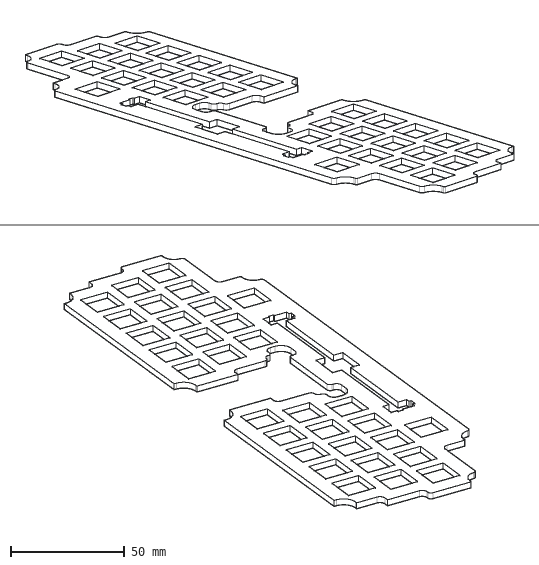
import cadquery as cq

THICKNESS = 3.0
PITCH = 19.05
BORDER = 5.5
SWITCH_SIZE = 14.0
KEYS_PER_ROW = 5

ROW_FIRST_KEY = [1.5, 1.75, 2.0]
ROW_HEIGHT = [1.5, 0.5, -0.5]
THUMB_ROW_Y = -1.5 * PITCH
THUMB_KEY_X = 3.875 * PITCH
THUMB_KEY_WIDTH = 1.5 * PITCH

TOP_NOTCH = 7.25
BOTTOM_NOTCH = 7.0
TOP_NOTCH_RADIUS = 6.1
BOTTOM_NOTCH_RADIUS = 5.5
STEP_OVERLAP = 4.2
STEP_RADIUS = 2.5
NOTCH_TIP_RADIUS = 0.5
EDGE_RADIUS = 1.6

POCKET_INNER_X = 16.7
POCKET_OUTER_X = 28.0
POCKET_TOP_Y = -8.0
POCKET_BOTTOM_Y = -18.5
POCKET_OUTER_RADIUS = 5.0
POCKET_INNER_RADIUS = 2.5
POCKET_TOP_RADIUS = 3.0
SHOULDER_X = 22.0
SHOULDER_Y = -4.0
SHOULDER_RADIUS = 1.9

STAB_X = 50.0
STAB_WIDTH = 6.75
STAB_TOP = 5.53
STAB_BOTTOM = -6.77
STAB_FOOT_WIDTH = 3.0
STAB_FOOT_BOTTOM = -7.97
STAB_EAR_REACH = 4.2
STAB_EAR_TOP = 2.3
STAB_EAR_BOTTOM = -0.5
BAR_HEIGHT = 4.6


def row_inner_x(row):
    """Plate edge beside the central opening."""
    return (ROW_FIRST_KEY[row] - 0.5) * PITCH - BORDER


def row_outer_x(row):
    """Plate edge at the outer end of a row."""
    return (ROW_FIRST_KEY[row] - 0.5 + KEYS_PER_ROW) * PITCH + BORDER


TOP_Y = 2 * PITCH + BORDER
BOTTOM_Y = -TOP_Y
UPPER_STEP_Y = PITCH + STEP_OVERLAP
LOWER_STEP_Y = STEP_OVERLAP
INNER_STEP_Y = PITCH - STEP_OVERLAP
LETTER_BOTTOM_Y = -PITCH - BORDER
SPACE_TOP_Y = -PITCH + BORDER
THUMB_OUTER_X = THUMB_KEY_X + THUMB_KEY_WIDTH / 2 + BORDER


def half_plate():
    """Right half of the plate; each outline corner is (x, y, fillet radius)."""
    corners = [
        (0, BOTTOM_Y, 0),
        (THUMB_OUTER_X - BOTTOM_NOTCH, BOTTOM_Y, EDGE_RADIUS),
        (THUMB_OUTER_X - BOTTOM_NOTCH, BOTTOM_Y + BOTTOM_NOTCH, BOTTOM_NOTCH_RADIUS),
        (THUMB_OUTER_X, BOTTOM_Y + BOTTOM_NOTCH, NOTCH_TIP_RADIUS),
        (THUMB_OUTER_X, LETTER_BOTTOM_Y, STEP_RADIUS),
        (row_outer_x(2) - BOTTOM_NOTCH, LETTER_BOTTOM_Y, EDGE_RADIUS),
        (row_outer_x(2) - BOTTOM_NOTCH, LETTER_BOTTOM_Y + BOTTOM_NOTCH, BOTTOM_NOTCH_RADIUS),
        (row_outer_x(2), LETTER_BOTTOM_Y + BOTTOM_NOTCH, NOTCH_TIP_RADIUS),
        (row_outer_x(2), LOWER_STEP_Y, EDGE_RADIUS),
        (row_outer_x(1), LOWER_STEP_Y, STEP_RADIUS),
        (row_outer_x(1), UPPER_STEP_Y, 0),
        (row_outer_x(0), UPPER_STEP_Y, STEP_RADIUS),
        (row_outer_x(0), TOP_Y - TOP_NOTCH, 0),
        (row_outer_x(0) - TOP_NOTCH, TOP_Y - TOP_NOTCH, TOP_NOTCH_RADIUS),
        (row_outer_x(0) - TOP_NOTCH, TOP_Y, 0),
        (row_inner_x(0) + TOP_NOTCH, TOP_Y, 0),
        (row_inner_x(0) + TOP_NOTCH, TOP_Y - TOP_NOTCH, TOP_NOTCH_RADIUS),
        (row_inner_x(0), TOP_Y - TOP_NOTCH, 0),
        (row_inner_x(0), INNER_STEP_Y, 0),
        (row_inner_x(1), INNER_STEP_Y, STEP_RADIUS),
        (row_inner_x(1), SHOULDER_Y, SHOULDER_RADIUS),
        (SHOULDER_X, SHOULDER_Y, SHOULDER_RADIUS),
        (SHOULDER_X, POCKET_TOP_Y, SHOULDER_RADIUS),
        (POCKET_OUTER_X, POCKET_TOP_Y, POCKET_TOP_RADIUS),
        (POCKET_OUTER_X, POCKET_BOTTOM_Y, POCKET_OUTER_RADIUS),
        (POCKET_INNER_X, POCKET_BOTTOM_Y, POCKET_INNER_RADIUS),
        (POCKET_INNER_X, SPACE_TOP_Y, EDGE_RADIUS),
        (0, SPACE_TOP_Y, 0),
    ]
    plate = cq.Workplane("XY").polyline([(x, y) for x, y, _ in corners]).close().extrude(THICKNESS)
    for x, y, radius in corners:
        if radius > 0:
            edge = cq.selectors.NearestToPointSelector((x, y, THICKNESS / 2))
            plate = plate.edges("|Z").edges(edge).fillet(radius)
    return plate


def box(x_min, x_max, y_min, y_max):
    """Through-cut block spanning the given rectangle."""
    block = cq.Workplane("XY").box(x_max - x_min, y_max - y_min, THICKNESS, centered=False)
    return block.translate((x_min, y_min, 0))


def half_switch_cutouts():
    """Switch holes of one half, plus the space bar hole on the mirror plane."""
    centres = [(THUMB_KEY_X, THUMB_ROW_Y), (0, THUMB_ROW_Y)]
    for first_key, height in zip(ROW_FIRST_KEY, ROW_HEIGHT):
        for key in range(KEYS_PER_ROW):
            centres.append(((first_key + key) * PITCH, height * PITCH))
    return cq.Workplane("XY").pushPoints(centres).rect(SWITCH_SIZE, SWITCH_SIZE).extrude(THICKNESS)


def half_stabiliser_cutout():
    """Stabiliser housing with its foot and ear, joined to the space bar by the wire slot."""
    left = STAB_X - STAB_WIDTH / 2
    housing = box(left, left + STAB_WIDTH, STAB_BOTTOM, STAB_TOP)
    foot = box(STAB_X - STAB_FOOT_WIDTH / 2, STAB_X + STAB_FOOT_WIDTH / 2, STAB_FOOT_BOTTOM, STAB_TOP)
    ear = box(STAB_X, STAB_X + STAB_EAR_REACH, STAB_EAR_BOTTOM, STAB_EAR_TOP)
    bar = box(0, STAB_X, -BAR_HEIGHT / 2, BAR_HEIGHT / 2)
    return housing.union(foot).union(ear).union(bar).translate((0, THUMB_ROW_Y, 0))


right_half = half_plate().cut(half_switch_cutouts()).cut(half_stabiliser_cutout())
result = right_half.union(right_half.mirror("YZ")).clean()